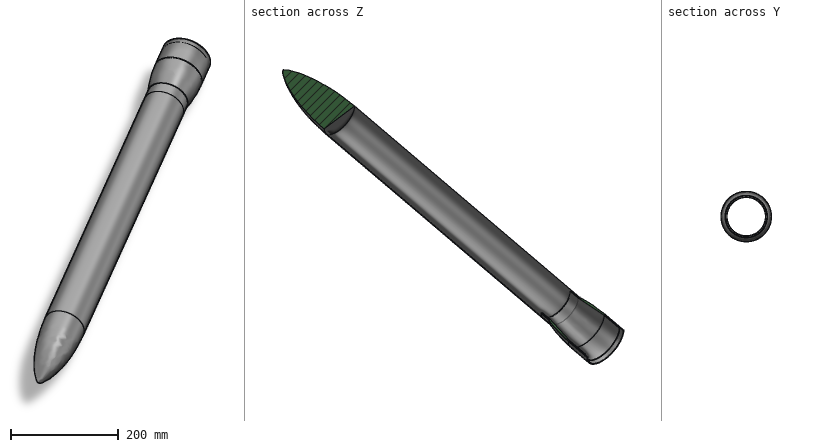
import cadquery as cq
import math


OVERALL_LENGTH = 874.62

TAIL_DIAMETER = 94.0
TAIL_BORE = 89.9
TAIL_LENGTH = 50.8

TRANSITION_LENGTH = 60.96
TRANSITION_REAR_DIAMETER = 93.98
REAR_SHOULDER_BORE = 86.36
REAR_SHOULDER_LENGTH = 42.0
FRONT_SHOULDER_BORE = 71.12
FRONT_SHOULDER_LENGTH = 22.0

TUBE_DIAMETER = 79.0
TUBE_BORE = 76.62

NOSE_LENGTH = 152.4
NOSE_TIP_DIAMETER = 2.0
NOSE_FULLNESS = 0.5
NOSE_STATIONS = 8

tail_front = -TAIL_LENGTH
rear_shoulder_end = tail_front + REAR_SHOULDER_LENGTH
transition_front = tail_front - TRANSITION_LENGTH
front_shoulder_end = transition_front - FRONT_SHOULDER_LENGTH
nose_tip = -OVERALL_LENGTH
nose_base = nose_tip + NOSE_LENGTH


def turn(profile):
    """Revolve a closed half profile about the Y axis."""
    return profile.revolve(360, (0, 0, 0), (0, 1, 0))


def make_ring(outer_diameter, bore, rear, front):
    """Plain hollow cylinder running from the rear station forward to the front station."""
    return (
        cq.Workplane("XZ", origin=(0, rear, 0))
        .circle(outer_diameter / 2)
        .circle(bore / 2)
        .extrude(rear - front)
    )


def make_tail_tube():
    """Large rear tube that slides over the rear shoulder of the transition."""
    return make_ring(TAIL_DIAMETER, TAIL_BORE, 0, tail_front)


def make_transition():
    """Hollow reducer with a shoulder into each tube; its outer arc is parallel to the axis at the rear."""
    drop = (TRANSITION_REAR_DIAMETER - TUBE_DIAMETER) / 2
    arc_radius = (TRANSITION_LENGTH**2 + drop**2) / (2 * drop)
    middle = TRANSITION_LENGTH / 2
    middle_drop = arc_radius - math.sqrt(arc_radius**2 - middle**2)
    middle_radius = TRANSITION_REAR_DIAMETER / 2 - middle_drop
    profile = (
        cq.Workplane("XY")
        .moveTo(REAR_SHOULDER_BORE / 2, rear_shoulder_end)
        .lineTo(TAIL_BORE / 2, rear_shoulder_end)
        .lineTo(TAIL_BORE / 2, tail_front)
        .lineTo(TRANSITION_REAR_DIAMETER / 2, tail_front)
        .threePointArc((middle_radius, tail_front - middle), (TUBE_DIAMETER / 2, transition_front))
        .lineTo(TUBE_BORE / 2, transition_front)
        .lineTo(TUBE_BORE / 2, front_shoulder_end)
        .lineTo(FRONT_SHOULDER_BORE / 2, front_shoulder_end)
        .lineTo(FRONT_SHOULDER_BORE / 2, transition_front)
        .lineTo(REAR_SHOULDER_BORE / 2, tail_front)
        .close()
    )
    return turn(profile)


def nose_radius(fraction):
    """Haack-series radius at a fraction of the nose length from the tip, on top of the small flat tip."""
    angle = math.acos(1 - 2 * fraction)
    area = angle - math.sin(2 * angle) / 2 + NOSE_FULLNESS * math.sin(angle) ** 3
    tip_radius = NOSE_TIP_DIAMETER / 2
    return tip_radius + (TUBE_DIAMETER / 2 - tip_radius) * math.sqrt(area / math.pi)


def make_nose_tube():
    """Long front tube closed by its curved nose."""
    nose_curve = []
    for station in range(1, NOSE_STATIONS + 1):
        fraction = (station / NOSE_STATIONS) ** 2
        nose_curve.append((nose_radius(fraction), nose_tip + fraction * NOSE_LENGTH))
    nose_profile = (
        cq.Workplane("XY")
        .moveTo(0, nose_tip)
        .lineTo(NOSE_TIP_DIAMETER / 2, nose_tip)
        .spline(nose_curve, includeCurrent=True)
        .lineTo(0, nose_base)
        .close()
    )
    tube = make_ring(TUBE_DIAMETER, TUBE_BORE, transition_front, nose_base)
    return turn(nose_profile).union(tube)


tail_tube = make_tail_tube()
transition = make_transition()
nose_tube = make_nose_tube()

result = cq.Compound.makeCompound([tail_tube.val(), transition.val(), nose_tube.solids().val()])